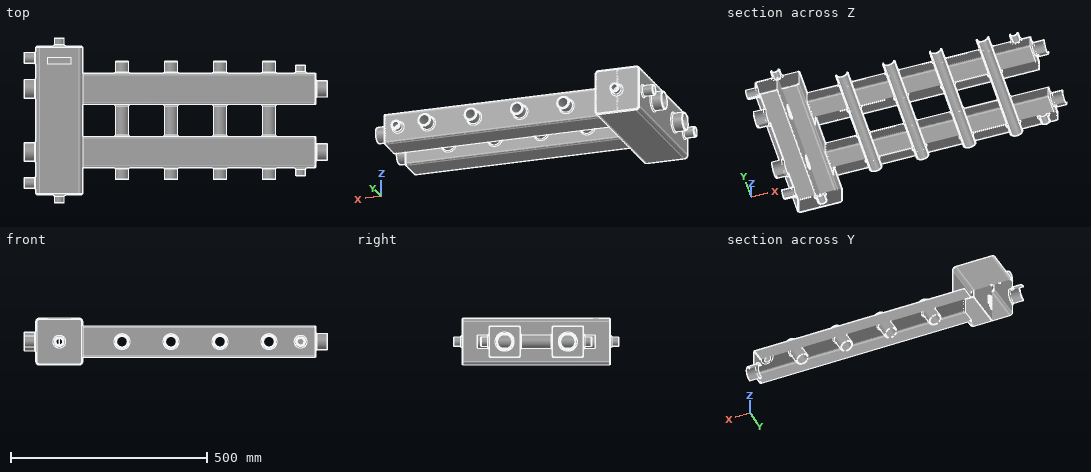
import cadquery as cq
import math


overall_length = 774.0
overall_width = 421.0

wall = 3.0
stub_length = 30.0
drain_length = 21.0
header_size = 120.0
header_corner = 9.0
header_length = overall_width - 2 * drain_length
bar_size = 80.5
bar_corner = 5.0
bar_y = 80.5
header_end_bevel = 3.0
bar_end_bevel = 1.5

header_x0 = stub_length
header_x1 = header_x0 + header_size
header_x = header_x0 + header_size / 2
bar_x1 = overall_length - stub_length
side_y = bar_y + bar_size / 2

main_pipe = (48.0, 42.0, 3.0)
outlet_pipe = (42.5, 36.0, 3.0)
branch_pipe = (34.0, 27.0, 3.0)
sensor_pipe = (28.0, 22.0, 3.0)
drain_pipe = (25.0, 17.0, 4.0)
tip_chamfer = 1.5

sensor_y = 159.5
branch_count = 4
first_branch_x = 250.0
last_branch_x = 625.0
branch_pitch = (last_branch_x - first_branch_x) / (branch_count - 1)
bar_drain_x = 705.0

divider_thickness = 2.0
divider_hole_diameter = 7.5
divider_web = 1.5
divider_hole_pitch = divider_hole_diameter + divider_web
divider_patch_radius = 23.0

plate_length = 60.0
plate_width = 16.0
plate_thickness = 1.0
plate_end_distance = 38.0
plate_y = header_length / 2 - plate_end_distance


def block(x0, x1, y0, y1, height):
    """Box between two X and two Y positions, centred on Z = 0."""
    size = (x1 - x0, y1 - y0, height)
    return cq.Workplane("XY").box(*size).translate(((x0 + x1) / 2, (y0 + y1) / 2, 0))


def rod(diameter, base, direction, length):
    """Cylinder starting at the base point and running in the given direction."""
    cylinder = cq.Solid.makeCylinder(diameter / 2, length, cq.Vector(*base), cq.Vector(*direction))
    return cq.Workplane(cylinder)


def stub(diameter, base, direction, length):
    """Round stub standing on a face, with its free outer edge chamfered."""
    outward = cq.selectors.DirectionMinMaxSelector(cq.Vector(*direction))
    return rod(diameter, base, direction, length).faces(outward).chamfer(tip_chamfer)


def weld(diameter, leg, base, direction):
    """Conical weld bead around a pipe, widest on the face it stands on."""
    radius = diameter / 2
    cone = cq.Solid.makeCone(radius + leg, radius, leg, cq.Vector(*base), cq.Vector(*direction))
    return cq.Workplane(cone)


def header_box(inset):
    """Header outline moved inwards by the inset, with its long edges rounded."""
    half = header_length / 2 - inset
    box = block(header_x0 + inset, header_x1 - inset, -half, half, header_size - 2 * inset)
    return box.edges("|Y").fillet(header_corner - inset)


def bar_box(y, inset):
    """Bar outline moved inwards by the inset; its inner end always opens into the header."""
    half = bar_size / 2 - inset
    box = block(header_x1 - wall, bar_x1 - inset, y - half, y + half, 2 * half)
    return box.edges("|X").fillet(bar_corner - inset)


def stub_places():
    """Every blind stub as (pipe, point on the face, outward direction, length)."""
    places = []
    for side in (-1, 1):
        outward = (0, side, 0)
        places.append((main_pipe, (header_x0, side * bar_y, 0), (-1, 0, 0), stub_length))
        places.append((sensor_pipe, (header_x0, side * sensor_y, 0), (-1, 0, 0), stub_length))
        places.append((outlet_pipe, (bar_x1, side * bar_y, 0), (1, 0, 0), stub_length))
        places.append((drain_pipe, (header_x, side * header_length / 2, 0), outward, drain_length))
        places.append((drain_pipe, (bar_drain_x, side * side_y, 0), outward, drain_length))
    return places


def divider():
    """Thin plate across the header with a staggered patch of holes facing each main stub."""
    overlap = wall / 2
    half = header_length / 2 - wall + overlap
    height = header_size - 2 * wall + 2 * overlap
    x0 = header_x - divider_thickness / 2
    plate = block(x0, x0 + divider_thickness, -half, half, height)
    column_step = divider_hole_pitch * math.sqrt(3) / 2
    reach = math.ceil(divider_patch_radius / column_step)
    points = []
    for column in range(-reach, reach + 1):
        for row in range(-reach, reach + 1):
            y = column * column_step
            z = (row + (column % 2) / 2) * divider_hole_pitch
            if math.hypot(y, z) <= divider_patch_radius:
                points += [(y - bar_y, z), (y + bar_y, z)]
    holes = (
        cq.Workplane("YZ", origin=(x0, 0, 0))
        .pushPoints(points)
        .circle(divider_hole_diameter / 2)
        .extrude(divider_thickness)
    )
    return plate.cut(holes)


branch_xs = [first_branch_x + i * branch_pitch for i in range(branch_count)]
stubs = stub_places()

body = header_box(0).faces("<Y or >Y").chamfer(header_end_bevel)
for bar_side in (-1, 1):
    body = body.union(bar_box(bar_side * bar_y, 0).faces(">X").chamfer(bar_end_bevel))

body = body.cut(header_box(wall))
for bar_side in (-1, 1):
    body = body.cut(bar_box(bar_side * bar_y, wall))

body = body.union(divider())

for (outer, bore, weld_leg), base, direction, length in stubs:
    body = body.union(stub(outer, base, direction, length))
    body = body.union(weld(outer, weld_leg, base, direction))
    inner_end = tuple(b - d * wall for b, d in zip(base, direction))
    body = body.cut(rod(bore, inner_end, direction, length + wall))

branch_end = side_y + stub_length
branch_outer, branch_bore, branch_weld = branch_pipe
for x in branch_xs:
    start = (x, -branch_end, 0)
    tube = rod(branch_outer, start, (0, 1, 0), 2 * branch_end)
    body = body.union(tube.faces("<Y or >Y").chamfer(tip_chamfer))
    for bar_side in (-1, 1):
        for face_side in (-1, 1):
            face_y = bar_side * bar_y + face_side * bar_size / 2
            body = body.union(weld(branch_outer, branch_weld, (x, face_y, 0), (0, face_side, 0)))
    body = body.cut(rod(branch_bore, start, (0, 1, 0), 2 * branch_end))

nameplate = cq.Workplane("XY", origin=(header_x, plate_y, header_size / 2))
result = body.union(nameplate.rect(plate_length, plate_width).extrude(plate_thickness))